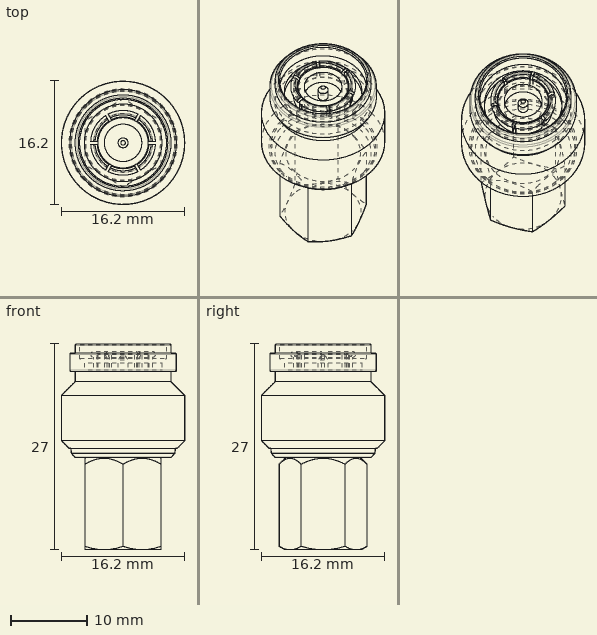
import cadquery as cq
import math

total_height = 27.0
body_radius = 8.1

hex_sides = 6
hex_half_angle = 180 / hex_sides
hex_across_flats = 10.0
hex_flat_radius = hex_across_flats / 2
hex_corner_radius = hex_flat_radius / math.cos(math.radians(hex_half_angle))
hex_corner_reach = hex_corner_radius - hex_flat_radius
hex_top_chamfer_angle = 45.0
hex_bottom_chamfer_angle = 30.0
hex_chamfer_gap = 0.1

collar_bottom = 12.1
collar_top_radius = 6.88
collar_crease_radius = 6.82
collar_crease_height = 12.75
collar_lip_height = 12.6
collar_lip_radius = 6.76
collar_foot_radius = 6.38
collar_foot_bevel = 0.08

lower_shoulder_bottom = 13.3
lower_shoulder = 1.0
neck_radius = 6.3
upper_shoulder_top = 22.05
upper_shoulder = body_radius - neck_radius

band_radius = 7.0
band_bottom = 23.37
band_top = 25.8
band_round = 0.2

rim_outer_round = 0.22
rim_inner_chamfer = 0.17
bore_radius = 5.7
seat_outer_height = 25.1
seat_inner_radius = 5.1
seat_drop = bore_radius - seat_inner_radius
seat_inner_height = seat_outer_height - seat_drop
bore_floor = 23.55

ring_outer_radius = 4.25
ring_inner_radius = 3.4
ring_top = 26.0
bead_radius = 0.38
ring_shank_radius = ring_outer_radius - bead_radius
ring_inner_chamfer = 0.28
slot_count = 6
slot_width = 0.4

insulator_radius = 3.3
insulator_top = 25.58
well_radius = 2.46
well_floor = bore_floor

pin_radius = 0.65
pin_tip_radius = 0.3
pin_tip_height = 25.4
pin_cone_height = 0.5


def cylinder(radius, bottom, top):
    return cq.Workplane("XY").workplane(offset=bottom).circle(radius).extrude(top - bottom)


def make_hex_shank():
    prism = (
        cq.Workplane("XY")
        .polygon(hex_sides, 2 * hex_corner_radius)
        .extrude(collar_bottom)
        .rotate((0, 0, 0), (0, 0, 1), hex_half_angle)
    )
    bottom_rise = hex_corner_reach * math.tan(math.radians(hex_bottom_chamfer_angle))
    top_slope = math.tan(math.radians(hex_top_chamfer_angle))
    top_drop = hex_corner_reach * top_slope
    flat_top = collar_bottom - hex_chamfer_gap
    envelope = (
        cq.Workplane("XZ")
        .moveTo(0, 0)
        .lineTo(hex_flat_radius, 0)
        .lineTo(hex_corner_radius, bottom_rise)
        .lineTo(hex_corner_radius, flat_top - top_drop)
        .lineTo(hex_flat_radius - hex_chamfer_gap / top_slope, collar_bottom)
        .lineTo(0, collar_bottom)
        .close()
        .revolve(360, (0, 0, 0), (0, 1, 0))
    )
    return prism.intersect(envelope)


def make_shell():
    return (
        cq.Workplane("XZ")
        .moveTo(0, collar_bottom)
        .lineTo(collar_foot_radius - collar_foot_bevel, collar_bottom)
        .lineTo(collar_foot_radius, collar_bottom + collar_foot_bevel)
        .lineTo(collar_lip_radius, collar_lip_height)
        .lineTo(collar_crease_radius, collar_crease_height)
        .lineTo(collar_top_radius, lower_shoulder_bottom)
        .lineTo(body_radius - lower_shoulder, lower_shoulder_bottom)
        .lineTo(body_radius, lower_shoulder_bottom + lower_shoulder)
        .lineTo(body_radius, upper_shoulder_top - upper_shoulder)
        .lineTo(neck_radius, upper_shoulder_top)
        .lineTo(neck_radius, total_height - rim_outer_round)
        .radiusArc((neck_radius - rim_outer_round, total_height), -rim_outer_round)
        .lineTo(bore_radius + rim_inner_chamfer, total_height)
        .lineTo(bore_radius, total_height - rim_inner_chamfer)
        .lineTo(bore_radius, seat_outer_height)
        .lineTo(seat_inner_radius, seat_inner_height)
        .lineTo(seat_inner_radius, bore_floor)
        .lineTo(0, bore_floor)
        .close()
        .revolve(360, (0, 0, 0), (0, 1, 0))
    )


def make_band():
    band = cylinder(band_radius, band_bottom, band_top).edges().fillet(band_round)
    return band.cut(cylinder(bore_radius, band_bottom, band_top))


def make_contact_ring():
    ring = (
        cq.Workplane("XZ")
        .moveTo(ring_inner_radius, bore_floor)
        .lineTo(ring_shank_radius, bore_floor)
        .lineTo(ring_shank_radius, ring_top - 2 * bead_radius)
        .threePointArc((ring_outer_radius, ring_top - bead_radius), (ring_shank_radius, ring_top))
        .lineTo(ring_inner_radius + ring_inner_chamfer, ring_top)
        .lineTo(ring_inner_radius, ring_top - ring_inner_chamfer)
        .close()
        .revolve(360, (0, 0, 0), (0, 1, 0))
    )
    slot_height = ring_top - bore_floor
    for index in range(slot_count):
        slot = (
            cq.Workplane("XY")
            .box(seat_inner_radius, slot_width, slot_height, centered=(False, True, False))
            .translate((0, 0, bore_floor))
            .rotate((0, 0, 0), (0, 0, 1), index * 360 / slot_count)
        )
        ring = ring.cut(slot)
    return ring


def make_insulator():
    insulator = cylinder(insulator_radius, bore_floor, insulator_top)
    return insulator.cut(cylinder(well_radius, well_floor, insulator_top))


def make_pin():
    return (
        cq.Workplane("XZ")
        .moveTo(0, well_floor)
        .lineTo(pin_radius, well_floor)
        .lineTo(pin_radius, pin_tip_height - pin_cone_height)
        .lineTo(pin_tip_radius, pin_tip_height)
        .lineTo(0, pin_tip_height)
        .close()
        .revolve(360, (0, 0, 0), (0, 1, 0))
    )


result = (
    make_shell()
    .union(make_hex_shank())
    .union(make_band())
    .union(make_contact_ring())
    .union(make_insulator())
    .union(make_pin())
)